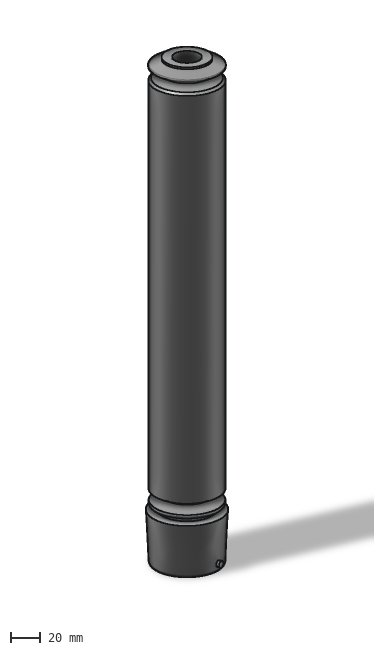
import cadquery as cq

total_height = 371.0
body_radius = 52.0 / 2
neck_radius = 34.0 / 2
collar_neck_radius = 40.0 / 2
bore_radius = 20.0 / 2

cup_height = 39.5
cup_top_radius = 55.3 / 2
cup_foot_radius = 51.5 / 2
foot_fillet = 2.2

collar_bottom = 43.8
collar_top = 46.5
lower_neck = 50.0
body_bottom = 55.0
body_top = 354.0
shoulder_height = 2.0
shoulder_inset = 2.0
upper_neck = 359.0
cap_rim_bottom = 364.0
cap_rim_top = 366.0
rim_bulge = 0.5
lip_height = 1.5

pin_diameter = 5.0
pin_height = 6.3
pin_span = 56.8


def make_cup():
    """Tapered round cup with a rounded bottom edge."""
    cup = (
        cq.Workplane("XY")
        .circle(cup_foot_radius)
        .workplane(offset=cup_height)
        .circle(cup_top_radius)
        .loft()
    )
    return cup.faces("<Z").edges().fillet(foot_fillet)


def make_column():
    """Collar disc, long body and cap, separated by V-shaped necks."""
    edge_radius = body_radius - rim_bulge
    profile = (
        cq.Workplane("XZ")
        .moveTo(0, total_height)
        .lineTo(neck_radius, total_height)
        .lineTo(neck_radius, total_height - lip_height)
        .lineTo(edge_radius, cap_rim_top)
        .tangentArcPoint((edge_radius, cap_rim_bottom), relative=False)
        .lineTo(neck_radius, upper_neck)
        .lineTo(body_radius - shoulder_inset, body_top + shoulder_height)
        .lineTo(body_radius, body_top)
        .lineTo(body_radius, body_bottom)
        .lineTo(neck_radius, lower_neck)
        .lineTo(edge_radius, collar_top)
        .threePointArc((body_radius, (collar_bottom + collar_top) / 2), (edge_radius, collar_bottom))
        .lineTo(collar_neck_radius, cup_height)
        .lineTo(0, cup_height)
        .close()
    )
    return profile.revolve(360, (0, 0, 0), (0, 1, 0))


def make_pins():
    """One round pin running across the cup, its ends standing out along X."""
    return (
        cq.Workplane("YZ")
        .center(0, pin_height)
        .circle(pin_diameter / 2)
        .extrude(pin_span / 2, both=True)
    )


bore = cq.Workplane("XY").circle(bore_radius).extrude(total_height)

result = make_cup().union(make_column()).union(make_pins()).cut(bore)